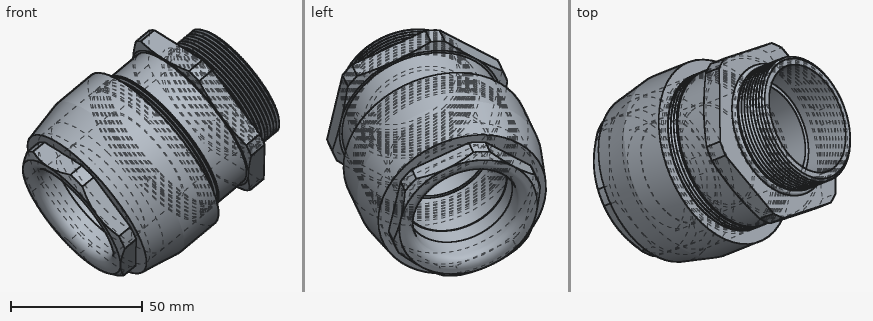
import cadquery as cq
import math

AXIS = (0.7346, 0.293, 0.612)
HEX_CORNER = (0.0104, -0.9066, 0.4216)

CAP_HEX_HEIGHT = 8.0
CAP_TAPER_TOP = 24.4
CAP_TOP = 42.4
BODY_THREAD_TOP = 47.4
NUT_BOTTOM = 61.8
NUT_TOP = 70.1
CONNECTION_THREAD_LENGTH = 15.5
GLAND_TOP = NUT_TOP + CONNECTION_THREAD_LENGTH

CAP_RADIUS = 73.7 / 2
CAP_TAPER_RADIUS = 33.5
CAP_HEX_FLATS = 55.0
CAP_HEX_CORNERS = 60.0
CAP_CHAMFER_ANGLE = 40.0
ENTRY_RADIUS = 42.24 / 2
ENTRY_ROUNDING = 4.0
CAVITY_FLOOR = 11.6

CLAMP_RING_TOP = 18.4
SEAL_TOP = 38.7
SEAL_RADIUS = 41.7 / 2

BODY_RADIUS = 62.97 / 2
NUT_FLATS = 65.0
NUT_CORNERS = 72.0
NUT_CHAMFER_ANGLE = 20.0
THROAT_RADIUS = 19.8
CONNECTION_BORE_RADIUS = 43.15 / 2
CONNECTION_BORE_FLOOR = 66.3

PITCH = 1.5
THREAD_DEPTH = 1.0
BODY_THREAD_TURNS = 5
CONNECTION_THREAD_TURNS = 9
CONNECTION_RADIUS = 25.0

NECK_RADIUS = 48.41 / 2
ORING_OUTER_RADIUS = 52.65 / 2
ORING_TUBE_RADIUS = (ORING_OUTER_RADIUS - NECK_RADIUS) / 2
ORING_CENTRE_RADIUS = NECK_RADIUS + ORING_TUBE_RADIUS
NECK_TOP = GLAND_TOP - CONNECTION_THREAD_TURNS * PITCH


def disc(bottom, top, radius):
    return cq.Workplane("XY").workplane(offset=bottom).circle(radius).extrude(top - bottom)


def tube(bottom, top, outer, inner):
    return disc(bottom, top, outer).cut(disc(bottom, top, inner))


def turned(points):
    return cq.Workplane("XZ").polyline(points).close().revolve(360, (0, 0), (0, 1))


def hexagon(bottom, top, flats, corners, chamfer_angle):
    """Hexagon with turned corners and a chamfer at its lower end."""
    chamfer_radius = flats / 2
    corner = corners / 2
    chamfer = (corner - chamfer_radius) * math.tan(math.radians(chamfer_angle))
    blank = turned(
        [(0, bottom), (chamfer_radius, bottom), (corner, bottom + chamfer), (corner, top), (0, top)]
    )
    prism = (
        cq.Workplane("XY")
        .workplane(offset=bottom)
        .polygon(6, flats / math.cos(math.pi / 6))
        .extrude(top - bottom)
    )
    return blank.intersect(prism)


def threaded_rod(top, turns, radius):
    root = radius - THREAD_DEPTH
    bottom = top - turns * PITCH
    points = [(0, bottom)]
    for turn in range(turns):
        base = bottom + turn * PITCH
        points += [(root, base), (radius, base + PITCH / 2)]
    points += [(root, top), (0, top)]
    return turned(points)


def entry_rounding():
    return (
        cq.Workplane("XZ")
        .moveTo(0, 0)
        .lineTo(ENTRY_RADIUS + ENTRY_ROUNDING, 0)
        .radiusArc((ENTRY_RADIUS, ENTRY_ROUNDING), ENTRY_ROUNDING)
        .lineTo(0, ENTRY_ROUNDING)
        .close()
        .revolve(360, (0, 0), (0, 1))
    )


def make_cap():
    shell = turned([
        (0, CAP_HEX_HEIGHT),
        (CAP_TAPER_RADIUS, CAP_HEX_HEIGHT),
        (CAP_RADIUS, CAP_TAPER_TOP),
        (CAP_RADIUS, CAP_TOP),
        (0, CAP_TOP),
    ])
    cap = shell.union(hexagon(0, CAP_HEX_HEIGHT, CAP_HEX_FLATS, CAP_HEX_CORNERS, CAP_CHAMFER_ANGLE))
    cap = cap.cut(disc(0, CAVITY_FLOOR, ENTRY_RADIUS))
    cap = cap.cut(entry_rounding())
    return cap.cut(disc(CAVITY_FLOOR, CAP_TOP, BODY_RADIUS))


def make_body():
    thread_bottom = BODY_THREAD_TOP - BODY_THREAD_TURNS * PITCH
    body = disc(SEAL_TOP, thread_bottom, BODY_RADIUS - THREAD_DEPTH)
    body = body.union(threaded_rod(BODY_THREAD_TOP, BODY_THREAD_TURNS, BODY_RADIUS))
    body = body.union(disc(BODY_THREAD_TOP, NUT_BOTTOM, BODY_RADIUS))
    body = body.union(hexagon(NUT_BOTTOM, NUT_TOP, NUT_FLATS, NUT_CORNERS, NUT_CHAMFER_ANGLE))
    body = body.union(disc(NUT_TOP, NECK_TOP, NECK_RADIUS))
    body = body.union(threaded_rod(GLAND_TOP, CONNECTION_THREAD_TURNS, CONNECTION_RADIUS))
    body = body.cut(disc(SEAL_TOP, CONNECTION_BORE_FLOOR, THROAT_RADIUS))
    return body.cut(disc(CONNECTION_BORE_FLOOR, GLAND_TOP, CONNECTION_BORE_RADIUS))


def make_oring():
    return (
        cq.Workplane("XZ")
        .center(ORING_CENTRE_RADIUS, NUT_TOP + ORING_TUBE_RADIUS)
        .circle(ORING_TUBE_RADIUS)
        .revolve(360, (-ORING_CENTRE_RADIUS, 0), (-ORING_CENTRE_RADIUS, 1))
    )


cap = make_cap()
clamp_ring = tube(CAVITY_FLOOR, CLAMP_RING_TOP, BODY_RADIUS, ENTRY_RADIUS)
seal = tube(CLAMP_RING_TOP, SEAL_TOP, BODY_RADIUS, SEAL_RADIUS)
body = make_body()
oring = make_oring()

gland_plane = cq.Plane(origin=(0, 0, 0), xDir=HEX_CORNER, normal=AXIS)


def placed(part):
    return part.val().moved(cq.Location(gland_plane))


result = cq.Compound.makeCompound([placed(part) for part in (cap, clamp_ring, seal, body, oring)])